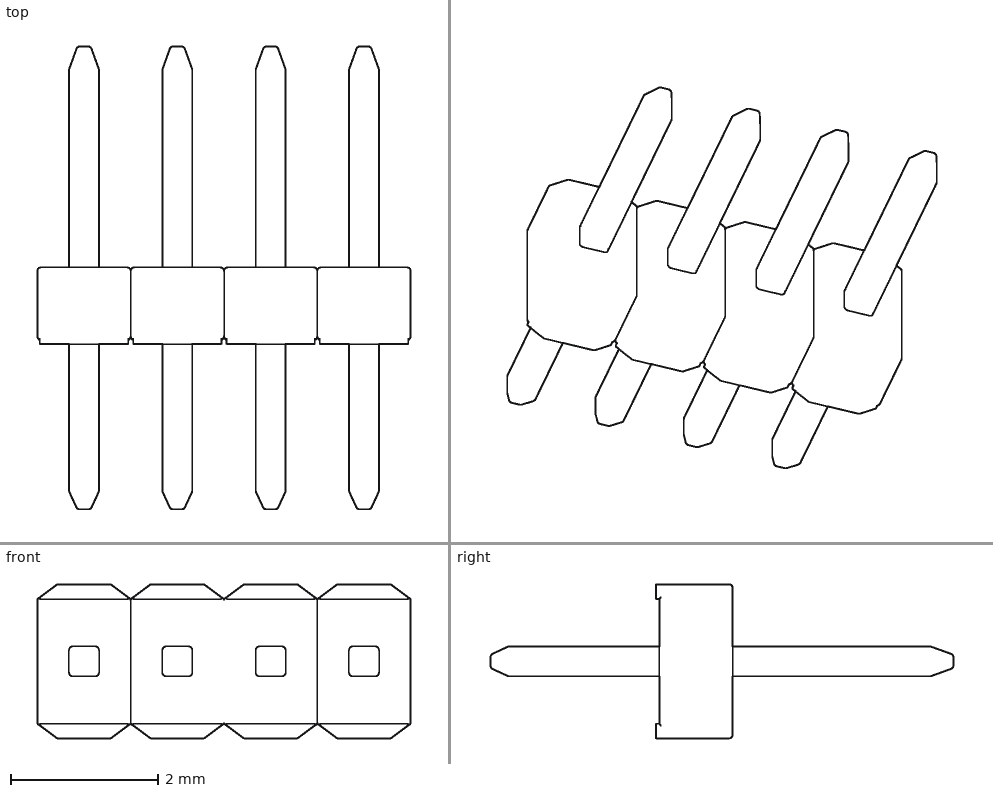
import cadquery as cq

cell_count = 4
row_length = 5.08
pitch = row_length / cell_count

block_height = 2.1
block_depth = 1.045
bevel_width = 0.27
bevel_height = 0.2
wall_setback = 0.05
wall_corner_radius = 0.055
bevel_edge_radius = 0.025
cap_edge_radius = 0.016
rear_radius = 0.05

pin_width = 0.41
pin_edge_radius = 0.055
pin_rear_length = 3.005
pin_front_length = 2.25
rear_taper_length = 0.315
front_taper_length = 0.245
tip_width = 0.18

wall_front = wall_setback - block_depth
wall_height = block_height - 2 * bevel_height
tolerance = 0.0005
pin_front_end = -block_depth - pin_front_length


def bevelled_prism():
    """Full-depth block: a rectangle in XZ with its four corners cut off."""
    half_width = pitch / 2
    half_height = block_height / 2
    flat_half_width = half_width - bevel_width
    outline = [
        (half_width, -wall_height / 2),
        (half_width, wall_height / 2),
        (flat_half_width, half_height),
        (-flat_half_width, half_height),
        (-half_width, wall_height / 2),
        (-half_width, -wall_height / 2),
        (-flat_half_width, -half_height),
        (flat_half_width, -half_height),
    ]
    prism = cq.Workplane("XZ").polyline(outline).close().extrude(block_depth)
    return prism.edges("|Y and (<Z or >Z)").fillet(bevel_edge_radius)


def cut_front_recess(block):
    """Set the wall back between the caps."""
    recess = cq.Workplane("XY").box(pitch, 2 * wall_setback, wall_height)
    return block.cut(recess.translate((0, -block_depth, 0)))


def round_overhangs(block):
    """Round the edges of both caps that lie wholly in front of the wall."""
    overhang = block.edges().filter(lambda edge: edge.Center().y < wall_front - tolerance)
    return overhang.fillet(cap_edge_radius)


def round_wall_corners(block):
    """Round the two upright front corners of the wall."""
    return block.edges("|Z and (not >Y)").fillet(wall_corner_radius)


def round_bevel_feet(block):
    """Round the edges where the bevels meet the upright sides, behind the wall's front."""

    def is_bevel_foot(edge):
        center = edge.Center()
        off_side = abs(abs(center.x) - pitch / 2)
        off_foot = abs(abs(center.z) - wall_height / 2)
        return off_side < tolerance and off_foot < tolerance and center.y > wall_front

    return block.edges("|Y").filter(is_bevel_foot).fillet(bevel_edge_radius)


def make_block():
    """Bevelled block whose top and bottom caps overhang the front wall."""
    block = cut_front_recess(bevelled_prism())
    block = round_overhangs(block)
    block = round_wall_corners(block)
    block = round_bevel_feet(block)
    return block.faces(">Y").edges().fillet(rear_radius)


def tapered_profile():
    """Pin outline with its long axis along Y, the same from above and from the side."""
    half_pin = pin_width / 2
    half_tip = tip_width / 2
    front_shoulder = pin_front_end + front_taper_length
    rear_shoulder = pin_rear_length - rear_taper_length
    return [
        (half_tip, pin_front_end),
        (half_pin, front_shoulder),
        (half_pin, rear_shoulder),
        (half_tip, pin_rear_length),
        (-half_tip, pin_rear_length),
        (-half_pin, rear_shoulder),
        (-half_pin, front_shoulder),
        (-half_tip, pin_front_end),
    ]


def make_pin():
    """Square pin with rounded edges and a blunt pyramid at each end."""
    profile = tapered_profile()
    from_above = cq.Workplane("XY").polyline(profile).close().extrude(pin_width / 2, both=True)
    side_profile = [(along, across) for across, along in profile]
    from_side = cq.Workplane("YZ").polyline(side_profile).close().extrude(pin_width / 2, both=True)
    pin = from_above.intersect(from_side)
    return pin.edges().fillet(pin_edge_radius)


def make_cell(center_x):
    """One header cell: a block and the pin that is one piece with it."""
    return make_block().union(make_pin()).translate((center_x, 0, 0))


first_x = (pitch - row_length) / 2
cells = [make_cell(first_x + index * pitch) for index in range(cell_count)]

result = cq.Compound.makeCompound([cell.val() for cell in cells])